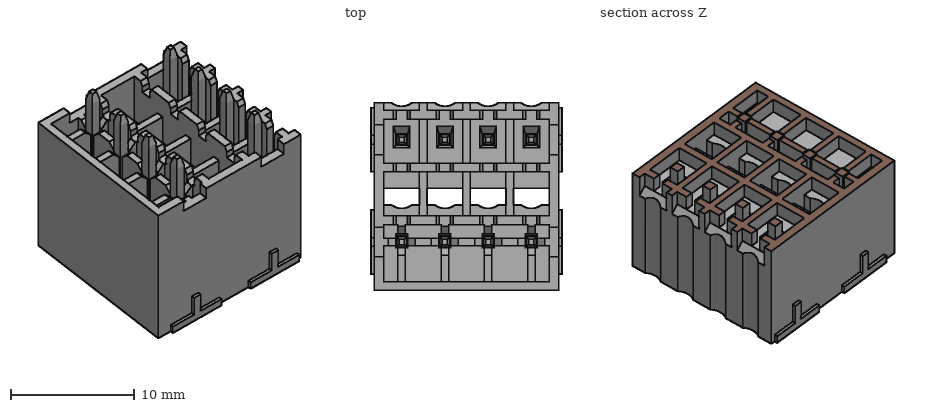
import cadquery as cq

PIN_COUNT = 4
PIN_PITCH = 3.5
REAR_PIN_Y = 4.6
FRONT_PIN_Y = -3.68
PIN_ROWS = (REAR_PIN_Y, FRONT_PIN_Y)
PIN_XS = [(i - (PIN_COUNT - 1) / 2) * PIN_PITCH for i in range(PIN_COUNT)]

OVERALL_WIDTH = 15.5
BODY_WIDTH = 14.95
BODY_DEPTH = 15.2
BODY_HEIGHT = 13.3
OVERALL_HEIGHT = 15.9
REAR_Y = BODY_DEPTH / 2
FRONT_Y = -BODY_DEPTH / 2

CELL_WIDTH = 2.88
INTERIOR_WIDTH = (PIN_COUNT - 1) * PIN_PITCH + CELL_WIDTH
WALL = 0.7
FRONT_INNER_Y = FRONT_Y + WALL
REAR_RIB_DEPTH = 0.63
REAR_WALL_Y = REAR_Y - REAR_RIB_DEPTH
MIDDLE_WALL_Y = 2.7
BACK_WALL_Y = -1.57
OPENING_DEPTH = 1.34
FLOOR_Z = 8.5
DIVIDER_Z = BODY_HEIGHT - 2.05
NOTCH_DEPTH = 1.05
RIB_Z = BODY_HEIGHT - NOTCH_DEPTH

SLOT_WIDTH = 0.9
SLOT_LEAD_IN_WIDTH = 0.23
SLOT_LEAD_IN_DEPTH = 0.47
NOTCH_LENGTH = 2.4
SCALLOP_CHORD = 1.65
SCALLOP_SAG = 0.28

PIN_SIZE = 0.82
TIP_SIZE = 0.42
TIP_LENGTH = 0.85
FUNNEL_DEPTH = 0.6
FUNNEL_HALF_WIDTH = 0.49
FUNNEL_FRONT = -0.46
FUNNEL_REAR = 0.5
FUNNEL_FLARE = 0.18
REAR_FUNNEL_FLARE = 0.6
RIB_THICKNESS = 0.6
RIB_LEAD_IN = 0.6

KEY_LENGTH = 5.2
KEY_BAR = 0.7
KEY_HEIGHT = 2.5


def box(x0, x1, y0, y1, z0, z1):
    return cq.Workplane("XY").box(x1 - x0, y1 - y0, z1 - z0, centered=False).translate((x0, y0, z0))


def centred_box(x, width, y0, y1, z0, z1):
    return box(x - width / 2, x + width / 2, y0, y1, z0, z1)


def frustum(lower, lower_z, upper, upper_z):
    """Solid between two rectangles, each given as (x0, x1, y0, y1)."""
    x0, x1, y0, y1 = lower
    u0, u1, v0, v1 = upper
    return (
        cq.Workplane("XY", origin=((x0 + x1) / 2, (y0 + y1) / 2, lower_z))
        .rect(x1 - x0, y1 - y0)
        .workplane(offset=upper_z - lower_z)
        .center((u0 + u1 - x0 - x1) / 2, (v0 + v1 - y0 - y1) / 2)
        .rect(u1 - u0, v1 - v0)
        .loft(ruled=True)
    )


def hollow_body():
    body = centred_box(0, BODY_WIDTH, FRONT_Y, REAR_Y, 0, BODY_HEIGHT)
    cavities = (
        (MIDDLE_WALL_Y, REAR_WALL_Y - WALL),
        (BACK_WALL_Y, MIDDLE_WALL_Y - WALL),
    )
    for y0, y1 in cavities:
        body = body.cut(centred_box(0, INTERIOR_WIDTH, y0, y1, DIVIDER_Z, BODY_HEIGHT))
        for x in PIN_XS:
            body = body.cut(centred_box(x, CELL_WIDTH, y0, y1, FLOOR_Z, BODY_HEIGHT))
    for x in PIN_XS:
        body = body.cut(centred_box(x, CELL_WIDTH, -OPENING_DEPTH / 2, OPENING_DEPTH / 2, 0, FLOOR_Z))
        body = body.cut(rear_recess(x))
    front_cavity = centred_box(
        0, INTERIOR_WIDTH, FRONT_INNER_Y, BACK_WALL_Y - WALL, FLOOR_Z, BODY_HEIGHT
    )
    return body.cut(front_cavity)


def rear_recess(x):
    """Recess in the rear face above a ledge sloping down at 45 degrees."""
    return (
        cq.Workplane("YZ", origin=(x - CELL_WIDTH / 2, 0, 0))
        .moveTo(REAR_WALL_Y, BODY_HEIGHT)
        .lineTo(REAR_WALL_Y, FLOOR_Z)
        .lineTo(REAR_Y, FLOOR_Z - REAR_RIB_DEPTH)
        .lineTo(REAR_Y, BODY_HEIGHT)
        .close()
        .extrude(CELL_WIDTH)
    )


def wall_slot(x, wall_rear_y, bottom_z):
    """Slot through a cross wall, with sloping lead-ins at its mouth."""
    half = SLOT_WIDTH / 2
    lead_in_z = BODY_HEIGHT - SLOT_LEAD_IN_DEPTH
    mouth = half + SLOT_LEAD_IN_WIDTH
    outline = [
        (x - half, bottom_z),
        (x + half, bottom_z),
        (x + half, lead_in_z),
        (x + mouth, BODY_HEIGHT),
        (x - mouth, BODY_HEIGHT),
        (x - half, lead_in_z),
    ]
    return cq.Workplane("XZ", origin=(0, wall_rear_y, 0)).polyline(outline).close().extrude(WALL)


def scallop(x, edge_y):
    """Round vertical groove in the edge of a ledge that faces +Y."""
    radius = (SCALLOP_CHORD**2 / 4 + SCALLOP_SAG**2) / (2 * SCALLOP_SAG)
    centre_y = edge_y - SCALLOP_SAG + radius
    groove = cq.Workplane("XY").center(x, centre_y).circle(radius).extrude(FLOOR_Z)
    return groove.intersect(centred_box(x, CELL_WIDTH, edge_y - SCALLOP_SAG, edge_y, 0, FLOOR_Z))


def support_ribs():
    """Crossing ribs around the front pins, sloping down to each pin hole."""
    ribs = centred_box(
        0,
        INTERIOR_WIDTH,
        FRONT_PIN_Y - RIB_THICKNESS / 2,
        FRONT_PIN_Y + RIB_THICKNESS / 2,
        FLOOR_Z,
        RIB_Z,
    )
    for x in PIN_XS:
        ribs = ribs.union(
            centred_box(x, RIB_THICKNESS, FRONT_INNER_Y, BACK_WALL_Y - WALL, FLOOR_Z, RIB_Z)
        )
    for x in PIN_XS:
        hole = (
            x - FUNNEL_HALF_WIDTH,
            x + FUNNEL_HALF_WIDTH,
            FRONT_PIN_Y + FUNNEL_FRONT,
            FRONT_PIN_Y + FUNNEL_REAR + FUNNEL_FLARE,
        )
        x0, x1, y0, y1 = hole
        mouth = (x0 - RIB_LEAD_IN, x1 + RIB_LEAD_IN, y0 - RIB_LEAD_IN, y1 + RIB_LEAD_IN)
        ribs = ribs.cut(frustum(hole, RIB_Z - RIB_LEAD_IN, mouth, RIB_Z))
        ribs = ribs.cut(box(*hole, FLOOR_Z, RIB_Z))
    return ribs


def funnel(x, y, side_flare, front_flare, rear_flare):
    """Tapered pocket in the cell floor around a pin."""
    x0 = x - FUNNEL_HALF_WIDTH
    x1 = x + FUNNEL_HALF_WIDTH
    y0 = y + FUNNEL_FRONT
    y1 = y + FUNNEL_REAR
    mouth = (x0 - side_flare, x1 + side_flare, y0 - front_flare, y1 + rear_flare)
    return frustum((x0, x1, y0, y1), FLOOR_Z - FUNNEL_DEPTH, mouth, FLOOR_Z)


def pin(x, y):
    shoulder_z = OVERALL_HEIGHT - TIP_LENGTH
    root_z = FLOOR_Z - 2 * FUNNEL_DEPTH
    half = PIN_SIZE / 2
    tip_half = TIP_SIZE / 2
    shank = box(x - half, x + half, y - half, y + half, root_z, shoulder_z)
    tip = frustum(
        (x - half, x + half, y - half, y + half),
        shoulder_z,
        (x - tip_half, x + tip_half, y - tip_half, y + tip_half),
        OVERALL_HEIGHT,
    )
    return shank.union(tip)


def key_pair(y):
    """Upside-down T keys standing out from both side walls."""
    bar = centred_box(0, OVERALL_WIDTH, y - KEY_LENGTH / 2, y + KEY_LENGTH / 2, 0, KEY_BAR)
    stem = centred_box(0, OVERALL_WIDTH, y - KEY_BAR / 2, y + KEY_BAR / 2, 0, KEY_HEIGHT)
    core = centred_box(0, BODY_WIDTH, FRONT_Y, REAR_Y, 0, KEY_HEIGHT)
    return bar.union(stem).cut(core)


def side_notches(y):
    """Notches across the top of both side walls, beside a pin row."""
    y0 = y - NOTCH_LENGTH / 2
    y1 = y + NOTCH_LENGTH / 2
    notches = centred_box(0, BODY_WIDTH, y0, y1, RIB_Z, BODY_HEIGHT)
    return notches.cut(centred_box(0, INTERIOR_WIDTH, y0, y1, RIB_Z, BODY_HEIGHT))


result = hollow_body().union(support_ribs())

for row_y in PIN_ROWS:
    result = result.cut(side_notches(row_y)).union(key_pair(row_y))

for pin_x in PIN_XS:
    result = result.cut(wall_slot(pin_x, REAR_WALL_Y, FLOOR_Z))
    result = result.cut(wall_slot(pin_x, MIDDLE_WALL_Y, RIB_Z))
    result = result.cut(wall_slot(pin_x, BACK_WALL_Y, RIB_Z))
    result = result.cut(scallop(pin_x, REAR_Y))
    result = result.cut(scallop(pin_x, -OPENING_DEPTH / 2))
    result = result.cut(funnel(pin_x, REAR_PIN_Y, FUNNEL_FLARE, FUNNEL_FLARE, REAR_FUNNEL_FLARE))
    result = result.cut(funnel(pin_x, FRONT_PIN_Y, 0, 0, FUNNEL_FLARE))
    for row_y in PIN_ROWS:
        result = result.union(pin(pin_x, row_y))